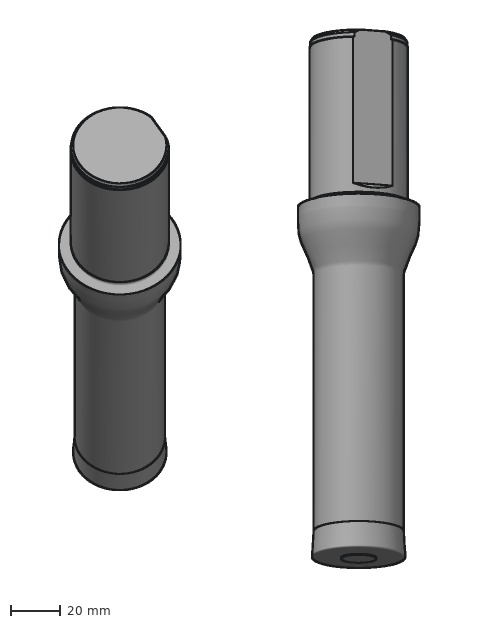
import cadquery as cq

total_length = 216.0
head_length = 11.5
stem_end = 118.2
collar_round_end = 141.0
collar_top = 146.2

stem_radius = 36.7 / 2
collar_radius = 49.5 / 2
collar_shoulder_radius = 23.0
collar_shoulder_level = 130.7
collar_root_radius = 19.0
collar_root_level = 121.5

shank_radius = 40.0 / 2
relief_radius = 39.5 / 2
relief_bevel = shank_radius - relief_radius
root_fillet = 0.9
shank_start = 148.2
shank_end = 212.8
top_chamfer = 0.9
top_chamfer_height = 1.3

flat_offset = 18.1
flat_ramp_start = 150.1

head_radius = 19.0
head_edge_radius = 0.6
tip_radius = 7.1
tip_height = 0.5


def make_holder_blank():
    """Revolved stem, collar and shank, standing on the cutting head."""
    fillet_top = collar_top + root_fillet
    profile = (
        cq.Workplane("XZ")
        .moveTo(0, head_length)
        .lineTo(stem_radius, head_length)
        .lineTo(stem_radius, stem_end)
        .spline(
            [
                (collar_root_radius, collar_root_level),
                (collar_shoulder_radius, collar_shoulder_level),
                (collar_radius, collar_round_end),
            ],
            tangents=[(0, 1), (0, 1)],
            includeCurrent=True,
        )
        .lineTo(collar_radius, collar_top)
        .lineTo(relief_radius + root_fillet, collar_top)
        .radiusArc((relief_radius, fillet_top), root_fillet)
        .lineTo(relief_radius, shank_start - relief_bevel)
        .lineTo(shank_radius, shank_start)
        .lineTo(shank_radius, shank_end)
        .lineTo(relief_radius, shank_end + relief_bevel)
        .lineTo(relief_radius, total_length - top_chamfer_height)
        .lineTo(relief_radius - top_chamfer, total_length)
        .lineTo(0, total_length)
        .close()
    )
    return profile.revolve(360, (0, 0, 0), (0, 1, 0))


def make_flat_cutter():
    """Prism that removes the clamping flat, with a 45 degree run-out at its lower end."""
    ramp_depth = shank_radius - flat_offset
    return (
        cq.Workplane("YZ")
        .moveTo(shank_radius, flat_ramp_start)
        .lineTo(flat_offset, flat_ramp_start + ramp_depth)
        .lineTo(flat_offset, total_length)
        .lineTo(shank_radius, total_length)
        .close()
        .extrude(shank_radius, both=True)
    )


def make_cutting_head():
    """Slightly flared head with a rounded rim and a small raised tip underneath."""
    rim_level = tip_height + head_edge_radius
    profile = (
        cq.Workplane("XZ")
        .moveTo(stem_radius, head_length)
        .lineTo(0, head_length)
        .lineTo(0, 0)
        .lineTo(tip_radius, 0)
        .lineTo(tip_radius, tip_height)
        .lineTo(head_radius - head_edge_radius, tip_height)
        .radiusArc((head_radius, rim_level), -head_edge_radius)
        .spline(
            [(stem_radius, head_length)],
            tangents=[(0, 1), (0, 1)],
            includeCurrent=True,
        )
        .close()
    )
    return profile.revolve(360, (0, 0, 0), (0, 1, 0))


holder = make_holder_blank().cut(make_flat_cutter()).solids()
cutting_head = make_cutting_head()

result = cq.Compound.makeCompound([holder.val(), cutting_head.val()])